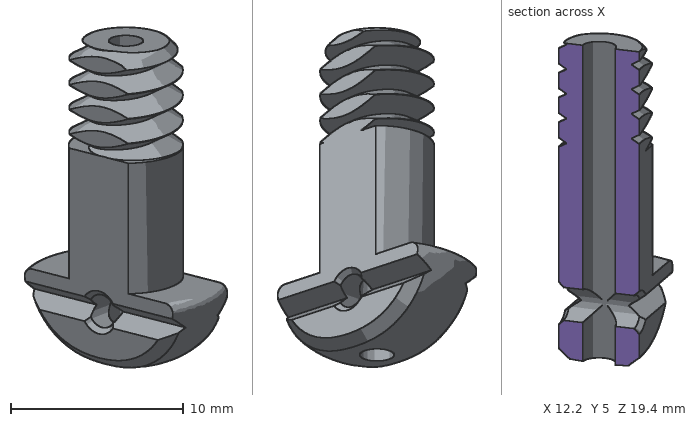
import cadquery as cq

total_height = 19.35
thickness = 5.0

head_height = 5.0
head_arc_radius = 5.0
bottom_flat_radius = 1.15
head_top_fillet = 0.55
face_setback = 0.43
underside_setback = 0.7

groove_height = 3.39
groove_half_width = 0.75
groove_depth = 1.03
bore_diameter = 2.0
countersink = 0.3

shank_diameter = 6.68
shank_top = 12.96
thread_diameter = 6.62
thread_root_diameter = 4.06
thread_pitch = 1.5
first_root_height = 13.6
thread_half_width = 0.74
crest_overrun = 0.01
thread_tip_chamfer = 0.8

shank_radius = shank_diameter / 2
thread_radius = thread_diameter / 2
thread_root_radius = thread_root_diameter / 2
head_reach = 2 * (bottom_flat_radius + head_arc_radius)


def slab(bottom, top):
    """Block between the two flat sides, spanning the given heights."""
    block = cq.Workplane("XY").workplane(offset=bottom)
    return block.rect(2 * head_reach, thickness).extrude(top - bottom)


def make_head():
    """Domed head cut to two flat sides and chamfered along the underside."""
    dome = (
        cq.Workplane("XZ")
        .lineTo(bottom_flat_radius, 0)
        .radiusArc((bottom_flat_radius + head_arc_radius, head_height), -head_arc_radius)
        .lineTo(0, head_height)
        .close()
        .revolve(360, (0, 0, 0), (0, 1, 0))
        .faces(">Z")
        .edges()
        .fillet(head_top_fillet)
    )
    upper = dome.intersect(slab(groove_height, head_height))
    lower = dome.intersect(slab(0, groove_height))
    for side in ("<Y", ">Y"):
        lower = lower.faces(side).edges("<Z").chamfer(underside_setback, face_setback)
    return upper.union(lower)


def helix(radius, height):
    """Right-handed helix starting on the +X side, two turns below the lowest full root."""
    start = first_root_height - 2 * thread_pitch
    length = total_height + thread_pitch - start
    return cq.Wire.makeHelix(thread_pitch, length, radius, cq.Vector(0, 0, start + height))


def make_thread_groove():
    """Solid swept by the V of the thread, bounded by ruled faces between three helices."""
    outer_radius = thread_radius + crest_overrun
    flank_run = thread_half_width / (thread_radius - thread_root_radius)
    half_width = flank_run * (outer_radius - thread_root_radius)
    corners = [
        helix(thread_root_radius, 0),
        helix(outer_radius, half_width),
        helix(outer_radius, -half_width),
    ]
    faces = []
    for index, corner in enumerate(corners):
        faces.append(cq.Face.makeRuledSurface(corner, corners[index - 1]))
    for ends in ([c.startPoint() for c in corners], [c.endPoint() for c in corners]):
        faces.append(cq.Face.makeFromWires(cq.Wire.makePolygon(ends, close=True)))
    return cq.Workplane(obj=cq.Solid.makeSolid(cq.Shell.makeShell(faces)))


def make_thread():
    """Threaded end: a cylinder with a chamfered tip and a helical V groove."""
    blank = (
        cq.Workplane("XY")
        .workplane(offset=shank_top)
        .circle(thread_radius)
        .extrude(total_height - shank_top)
        .faces(">Z")
        .chamfer(thread_tip_chamfer)
    )
    return blank.cut(make_thread_groove()).intersect(slab(shank_top, total_height))


def make_side_groove(side):
    """V groove running along X across one flat side of the head; side is -1 or 1."""
    face = side * thickness / 2
    return (
        cq.Workplane("YZ")
        .moveTo(face, groove_height + groove_half_width)
        .lineTo(face - side * groove_depth, groove_height)
        .lineTo(face, groove_height - groove_half_width)
        .close()
        .extrude(head_reach, both=True)
    )


def make_cross_hole():
    """Hole through the head along Y, countersunk at both flat sides."""
    face = thickness / 2
    radius = bore_diameter / 2
    return (
        cq.Workplane("XY", origin=(0, 0, groove_height))
        .moveTo(0, -face)
        .lineTo(radius + countersink, -face)
        .lineTo(radius, countersink - face)
        .lineTo(radius, face - countersink)
        .lineTo(radius + countersink, face)
        .lineTo(0, face)
        .close()
        .revolve(360, (0, 0, 0), (0, 1, 0))
    )


shank = (
    cq.Workplane("XY")
    .workplane(offset=groove_height)
    .circle(shank_radius)
    .extrude(shank_top - groove_height)
    .intersect(slab(groove_height, shank_top))
)
bore = cq.Workplane("XY").circle(bore_diameter / 2).extrude(total_height)

result = make_head().union(shank).union(make_thread()).cut(bore)
for side in (-1, 1):
    result = result.cut(make_side_groove(side))
result = result.cut(make_cross_hole())